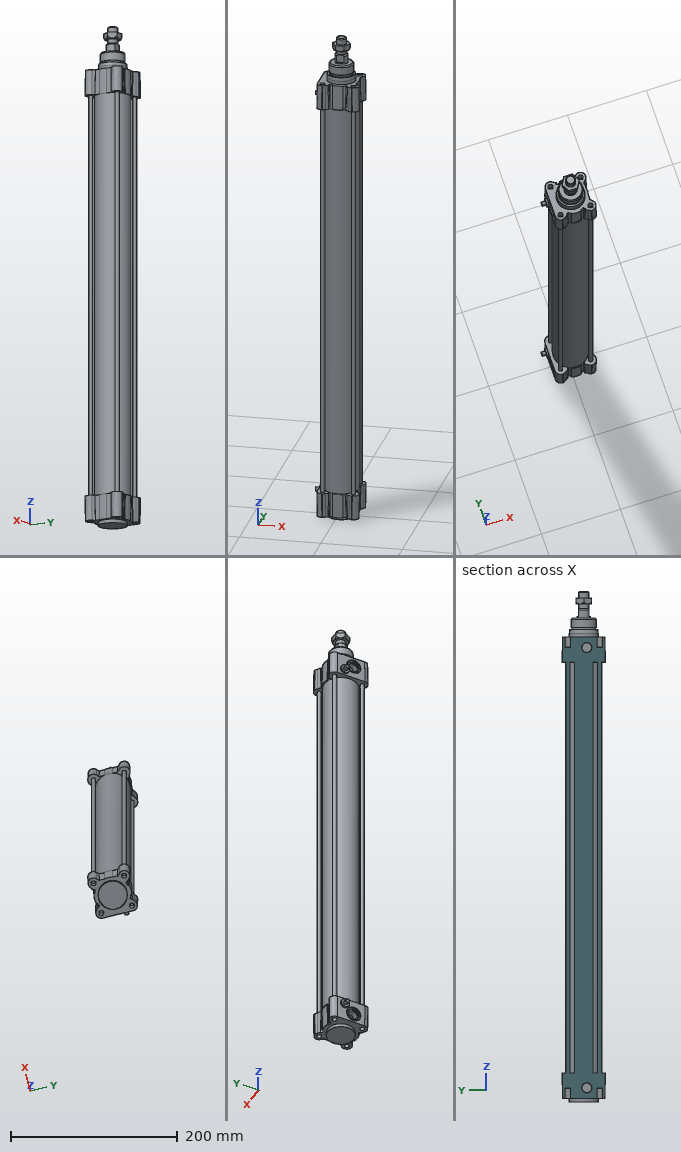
import cadquery as cq
import math

TOTAL_LENGTH = 613.0
REAR_COLLAR_LENGTH = 4.0
CAP_LENGTH = 30.5
FRONT_CAP_FACE = 558.5
REAR_CAP_FACE = REAR_COLLAR_LENGTH
TUBE_START = REAR_CAP_FACE + CAP_LENGTH
TUBE_END = FRONT_CAP_FACE - CAP_LENGTH
MIDDLE = (REAR_CAP_FACE + FRONT_CAP_FACE) / 2

TUBE_DIAMETER = 44.0
TIE_ROD_DIAMETER = 5.2
TIE_ROD_PITCH = 38.0

DRAFT_ANGLE = 1.0
LUG_DIAMETER = 14.0
LUG_CENTRE = TIE_ROD_PITCH / 2
CAP_HALF_WIDTH = LUG_CENTRE + LUG_DIAMETER / 2
WAIST_DIAMETER = 44.0
RIB_WIDTH = 13.0
RIB_DIAMETER = 46.5
PLAIN_WALL_REACH = 21.5
PLAIN_WALL_WIDTH = 23.0
GUSSET_TIP_X = 9.0
GUSSET_TIP_Y = 21.5
GUSSET_FLAT = 1.0
PORT_WALL_INNER = 9.0
LUG_HOLE_DIAMETER = 6.0
LUG_HOLE_DEPTH = 12.0

PORT_Y = -3.5
PORT_FROM_FACE = 13.0
PORT_SPOTFACE_DIAMETER = 19.0
PORT_SPOTFACE_DEPTH = 2.0
PORT_MOUTH_DIAMETER = 15.5
PORT_MOUTH_DEPTH = 3.0
PORT_DIAMETER = 11.5
PORT_DEPTH = 11.0

SCREW_Y = 9.0
SCREW_FROM_FACE = 22.5
SCREW_BASE_DIAMETER = 11.0
SCREW_BASE_REACH = 28.0
SCREW_HEAD_DIAMETER = 5.2
SCREW_HEAD_LENGTH = 5.2
SCREW_REACH = SCREW_BASE_REACH + SCREW_HEAD_LENGTH

COLLAR_DIAMETER = 35.0
COLLAR_TOP = 567.0
COLLAR_CHAMFER_HEIGHT = 4.0
COLLAR_CHAMFER_WIDTH = 0.5
NECK_DIAMETER = 30.0
NECK_TOP = 581.0
NECK_CHAMFER_HEIGHT = 2.0
NECK_CHAMFER_WIDTH = 1.0
GROOVE_DIAMETER = 29.0
GROOVE_WIDTH = 2.5

ROD_DIAMETER = 16.0
ROD_SHOULDER = 593.0
ROD_CHAMFER = 2.0
THREAD_DIAMETER = 12.0
THREAD_CHAMFER = 1.0
ROD_FLAT_WIDTH = 13.0
ROD_FLAT_BOTTOM = 583.0

NUT_ACROSS_FLATS = 19.0
NUT_BOTTOM = 597.5
NUT_THICKNESS = 7.5
NUT_CHAMFER_TAPER = 30


def cylinder(diameter, bottom, top):
    return cq.Workplane("XY").workplane(offset=bottom).circle(diameter / 2).extrude(top - bottom)


def wall_cylinder(diameter, y, z, outer_x, inner_x):
    """Cylinder along X in the -X wall, from outer_x to inner_x."""
    return cq.Workplane("YZ", origin=(outer_x, y, z)).circle(diameter / 2).extrude(inner_x - outer_x)


def tie_rod_points():
    return [(x, y) for x in (-LUG_CENTRE, LUG_CENTRE) for y in (-LUG_CENTRE, LUG_CENTRE)]


def gusset(base, x_side, y_side):
    """Web that slopes from the outer edge of one lug to the waist."""
    corners = [
        (LUG_CENTRE, LUG_CENTRE),
        (LUG_CENTRE, CAP_HALF_WIDTH),
        (LUG_CENTRE - GUSSET_FLAT, CAP_HALF_WIDTH),
        (GUSSET_TIP_X, GUSSET_TIP_Y),
    ]
    outline = [(x_side * x, y_side * y) for x, y in corners]
    return base.polyline(outline).close().extrude(CAP_LENGTH, taper=DRAFT_ANGLE)


def flat_wall(base, x_start, x_end, width):
    """Drafted block from x_start to x_end, centred on Y."""
    wall = base.center((x_start + x_end) / 2, 0).rect(x_end - x_start, width)
    return wall.extrude(CAP_LENGTH, taper=DRAFT_ANGLE)


def cap_blank():
    """Drafted front cap: round waist, lug arms, ribs, the port wall at -X and the plain wall at +X."""
    base = cq.Workplane("XY").workplane(offset=TUBE_END)
    cap = base.circle(WAIST_DIAMETER / 2).extrude(CAP_LENGTH, taper=DRAFT_ANGLE)
    arm_length = 2 * math.sqrt(2) * LUG_CENTRE + LUG_DIAMETER
    for angle in (45, -45):
        arm = base.slot2D(arm_length, LUG_DIAMETER, angle).extrude(CAP_LENGTH, taper=DRAFT_ANGLE)
        cap = cap.union(arm)
    rib_strip = base.rect(RIB_WIDTH, RIB_DIAMETER).extrude(CAP_LENGTH)
    ribs = base.circle(RIB_DIAMETER / 2).extrude(CAP_LENGTH, taper=DRAFT_ANGLE).intersect(rib_strip)
    for x_side in (-1, 1):
        for y_side in (-1, 1):
            cap = cap.union(gusset(base, x_side, y_side))
    port_wall = flat_wall(base, -CAP_HALF_WIDTH, -PORT_WALL_INNER, TIE_ROD_PITCH)
    plain_wall = flat_wall(base, 0, PLAIN_WALL_REACH, PLAIN_WALL_WIDTH)
    return cap.union(ribs).union(port_wall).union(plain_wall)


def cut_lug_holes(cap):
    holes = (
        cq.Workplane("XY")
        .workplane(offset=FRONT_CAP_FACE - LUG_HOLE_DEPTH)
        .pushPoints(tie_rod_points())
        .circle(LUG_HOLE_DIAMETER / 2)
        .extrude(LUG_HOLE_DEPTH)
    )
    return cap.cut(holes)


def cut_port(cap):
    """Spotface, stepped mouth and blind bore."""
    z = FRONT_CAP_FACE - PORT_FROM_FACE
    outer = -CAP_HALF_WIDTH
    seat = outer + PORT_SPOTFACE_DEPTH
    spotface = wall_cylinder(PORT_SPOTFACE_DIAMETER, PORT_Y, z, outer, seat)
    mouth = wall_cylinder(PORT_MOUTH_DIAMETER, PORT_Y, z, seat, outer + PORT_MOUTH_DEPTH)
    bore = wall_cylinder(PORT_DIAMETER, PORT_Y, z, seat, outer + PORT_DEPTH)
    return cap.cut(spotface).cut(mouth).cut(bore)


def add_cushion_screw(cap):
    """Wide base with a slim head."""
    z = FRONT_CAP_FACE - SCREW_FROM_FACE
    base = wall_cylinder(SCREW_BASE_DIAMETER, SCREW_Y, z, -SCREW_BASE_REACH, -LUG_CENTRE)
    head = wall_cylinder(SCREW_HEAD_DIAMETER, SCREW_Y, z, -SCREW_REACH, -SCREW_BASE_REACH)
    return cap.union(base).union(head)


def front_cap():
    cap = cut_lug_holes(cap_blank())
    cap = cut_port(cap)
    return add_cushion_screw(cap)


def chamfered_cylinder(diameter, bottom, top, height, width):
    """Cylinder whose top edge has a chamfer of the given height and radial width."""
    radius = diameter / 2
    profile = [
        (0, bottom),
        (radius, bottom),
        (radius, top - height),
        (radius - width, top),
        (0, top),
    ]
    return cq.Workplane("XZ").polyline(profile).close().revolve(360, (0, 0, 0), (0, 1, 0))


def front_collar():
    """Wide collar and slimmer neck, parted by a shallow groove."""
    groove_top = COLLAR_TOP + GROOVE_WIDTH
    collar = chamfered_cylinder(
        COLLAR_DIAMETER, FRONT_CAP_FACE, COLLAR_TOP, COLLAR_CHAMFER_HEIGHT, COLLAR_CHAMFER_WIDTH
    )
    groove = cylinder(GROOVE_DIAMETER, COLLAR_TOP, groove_top)
    neck = chamfered_cylinder(
        NECK_DIAMETER, groove_top, NECK_TOP, NECK_CHAMFER_HEIGHT, NECK_CHAMFER_WIDTH
    )
    return collar.union(groove).union(neck)


def make_cylinder():
    """Tube, tie rods, both end caps and collars, with a bore that seats the piston rod."""
    cap = front_cap()
    rear_cap = cap.mirror("XY", (0, 0, MIDDLE))
    tube = cylinder(TUBE_DIAMETER, TUBE_START, TUBE_END)
    tie_rods = (
        cq.Workplane("XY")
        .workplane(offset=TUBE_START)
        .pushPoints(tie_rod_points())
        .circle(TIE_ROD_DIAMETER / 2)
        .extrude(TUBE_END - TUBE_START)
    )
    body = tube.union(cap).union(rear_cap).union(tie_rods)
    body = body.union(front_collar()).union(cylinder(COLLAR_DIAMETER, 0, REAR_CAP_FACE))
    return body.cut(cylinder(ROD_DIAMETER, TUBE_END, NECK_TOP))


def make_piston_rod():
    """Round rod with two wrench flats and a thinner thread."""
    rod = cylinder(ROD_DIAMETER, TUBE_END, ROD_SHOULDER).faces(">Z").chamfer(ROD_CHAMFER)
    flat_height = ROD_SHOULDER - ROD_FLAT_BOTTOM
    band = cylinder(2 * ROD_DIAMETER, ROD_FLAT_BOTTOM, ROD_SHOULDER)
    kept = (
        cq.Workplane("XY")
        .workplane(offset=ROD_FLAT_BOTTOM)
        .rect(ROD_DIAMETER, ROD_FLAT_WIDTH)
        .extrude(flat_height)
    )
    rod = rod.cut(band.cut(kept))
    thread = cylinder(THREAD_DIAMETER, ROD_SHOULDER, TOTAL_LENGTH).faces(">Z").chamfer(THREAD_CHAMFER)
    return rod.union(thread)


def make_lock_nut():
    """Hexagon nut with a chamfered lower face and corners on the X axis."""
    across_corners = 2 * NUT_ACROSS_FLATS / math.sqrt(3)
    start = cq.Workplane("XY").workplane(offset=NUT_BOTTOM)
    hexagon = start.polygon(6, across_corners).extrude(NUT_THICKNESS)
    cone = start.circle(NUT_ACROSS_FLATS / 2).extrude(NUT_THICKNESS, taper=-NUT_CHAMFER_TAPER)
    thread_hole = start.circle(THREAD_DIAMETER / 2).extrude(NUT_THICKNESS)
    return hexagon.intersect(cone).cut(thread_hole)


body = make_cylinder()
piston_rod = make_piston_rod()
lock_nut = make_lock_nut()

result = cq.Compound.makeCompound([body.val(), piston_rod.val(), lock_nut.val()])